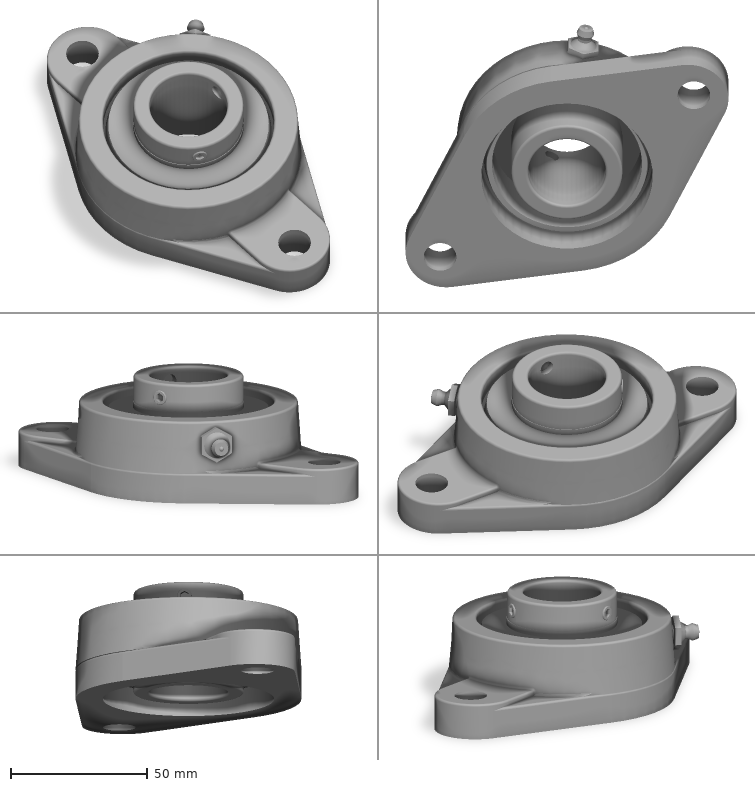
import cadquery as cq
import math

length = 141.0
body_diameter = 83.0
body_radius = body_diameter / 2
lug_radius = 15.0
lug_center = length / 2 - lug_radius
plate_height = 11.1
lug_height = 13.3
edge_fillet = 0.8
root_fillet = 0.8
tangent_sine = (body_radius - lug_radius) / lug_center
tangent_cosine = math.sqrt(1 - tangent_sine**2)
bolt_hole_diameter = 12.0
bolt_hole_center = 58.4

boss_top = 30.3
boss_top_radius = 40.2
rim_fillet = 1.0
bore_diameter = 63.0
seat_radius = 31.0
seat_edge_radius = 30.6
seat_half_height = math.sqrt(seat_radius**2 - seat_edge_radius**2)

bearing_center = 18.0
race_half_width = 9.6
race_top = bearing_center + race_half_width
race_bore_diameter = 55.1
seal_thickness = 1.4
ring_bottom = 2.1
ring_top = 40.0
ring_bore_diameter = 28.6
collar_diameter = 40.3
land_diameter = 40.7
land_top = 29.9

screw_angles = (-30.0, 90.0)
screw_height = 34.7
screw_diameter = 5.4
screw_tip_diameter = 5.0
screw_inner_reach = 16.5
screw_outer_reach = 20.6
socket_flats = 3.0
socket_depth = 2.1

nipple_angle = 135.0
nipple_height = 22.0
shank_diameter = 6.0
shank_reach = 35.2
hex_back_reach = 41.3
hex_front_reach = 43.5
hex_flats = 11.3
flare_diameter = 9.6
neck_diameter = 5.0
neck_start_reach = 45.8
neck_end_reach = 46.8
head_diameter = 6.5
head_reach = 48.6
tip_diameter = 5.1
tip_reach = 50.8
ball_diameter = 2.0
ball_reach = 50.3


def radial_plane(angle, height):
    """Plane at the bearing axis whose normal points outward along the angle, with its Y axis up."""
    outward = (math.cos(math.radians(angle)), math.sin(math.radians(angle)), 0)
    across = (-outward[1], outward[0], 0)
    return cq.Plane(origin=(0, 0, height), xDir=across, normal=outward)


def hexagon(workplane, flats):
    """Hexagon with a corner pointing up."""
    return workplane.transformed(rotate=(0, 0, 90)).polygon(6, flats / math.cos(math.pi / 6))


def plate_outline():
    """Central circle joined to the two lug ends by tangent lines."""
    body_x = body_radius * tangent_sine
    body_y = body_radius * tangent_cosine
    lug_x = lug_center + lug_radius * tangent_sine
    lug_y = lug_radius * tangent_cosine
    return (
        cq.Workplane("XY")
        .moveTo(-body_x, body_y)
        .threePointArc((0, body_radius), (body_x, body_y))
        .lineTo(lug_x, lug_y)
        .threePointArc((length / 2, 0), (lug_x, -lug_y))
        .lineTo(body_x, -body_y)
        .threePointArc((0, -body_radius), (-body_x, -body_y))
        .lineTo(-lug_x, -lug_y)
        .threePointArc((-length / 2, 0), (-lug_x, lug_y))
        .close()
    )


def make_plate():
    plate = plate_outline().extrude(plate_height)
    return plate.faces(">Z").edges("%LINE").fillet(edge_fillet)


def make_lugs():
    """Raised pads of both lugs, as one bar through the boss."""
    lugs = cq.Workplane("XY").slot2D(length, 2 * lug_radius).extrude(lug_height)
    return lugs.faces(">Z").edges().fillet(edge_fillet)


def make_boss():
    """Tapered boss standing on the plate."""
    profile = [(0, plate_height), (body_radius, plate_height), (boss_top_radius, boss_top), (0, boss_top)]
    boss = (
        cq.Workplane("XZ")
        .polyline(profile)
        .close()
        .revolve(360, (0, 0), (0, 1))
    )
    return boss.faces(">Z").edges().fillet(rim_fillet)


def round_lug_roots(flanged_boss):
    """Fillet where the raised pads of the lugs meet the boss."""
    inner_x = math.sqrt(boss_top_radius**2 - lug_radius**2)
    for side in (-1, 1):
        roots = flanged_boss.edges(
            cq.selectors.BoxSelector(
                (side * inner_x, -lug_radius, plate_height + root_fillet / 2),
                (side * body_radius, lug_radius, lug_height + root_fillet / 2),
            )
        )
        flanged_boss = roots.fillet(root_fillet)
    return flanged_boss


def make_plate_root(side):
    """Concave root between plate and boss on one side, ending at the rounded plate edges."""
    floor = plate_height - root_fillet
    root_top = plate_height + root_fillet
    outer_radius = body_radius + root_fillet
    taper = (body_radius - boss_top_radius) / (boss_top - plate_height)
    arc_middle = root_fillet * (1 - math.sqrt(0.5))
    disc = (
        cq.Workplane("XZ")
        .moveTo(0, floor)
        .lineTo(outer_radius, floor)
        .lineTo(outer_radius, plate_height)
        .threePointArc(
            (body_radius + arc_middle, plate_height + arc_middle),
            (body_radius - taper * root_fillet, root_top),
        )
        .lineTo(0, root_top)
        .close()
        .revolve(360, (0, 0), (0, 1))
    )
    edge_distance = body_radius - edge_fillet
    corner_x = side * edge_distance * tangent_sine
    corner_y = edge_distance * tangent_cosine
    flat_area = (
        cq.Workplane("XY")
        .polyline([(corner_x, corner_y), (side * edge_distance / tangent_sine, 0), (corner_x, -corner_y)])
        .close()
        .extrude(boss_top)
    )
    return disc.intersect(flat_area)


def make_seat():
    """Cavity for the insert: a spherical seat opening into equal counterbores above and below."""
    bore_radius = bore_diameter / 2
    edge_chamfer = bore_radius - seat_edge_radius
    seat_top = bearing_center + seat_half_height
    seat_bottom = bearing_center - seat_half_height
    return (
        cq.Workplane("XZ")
        .moveTo(0, 0)
        .lineTo(bore_radius, 0)
        .lineTo(bore_radius, seat_bottom - edge_chamfer)
        .lineTo(seat_edge_radius, seat_bottom)
        .threePointArc((seat_radius, bearing_center), (seat_edge_radius, seat_top))
        .lineTo(bore_radius, seat_top + edge_chamfer)
        .lineTo(bore_radius, boss_top - rim_fillet)
        .radiusArc((bore_radius + rim_fillet, boss_top), rim_fillet)
        .lineTo(0, boss_top)
        .close()
        .revolve(360, (0, 0), (0, 1))
    )


def make_housing():
    housing = round_lug_roots(make_plate().union(make_boss()).union(make_lugs()))
    for side in (-1, 1):
        housing = housing.union(make_plate_root(side))
    housing = housing.cut(make_seat())
    bolt_holes = (
        cq.Workplane("XY")
        .pushPoints([(-bolt_hole_center, 0), (bolt_hole_center, 0)])
        .circle(bolt_hole_diameter / 2)
        .extrude(lug_height)
    )
    nipple_hole = (
        cq.Workplane(radial_plane(nipple_angle, nipple_height))
        .workplane(offset=shank_reach)
        .circle(shank_diameter / 2)
        .extrude(hex_back_reach - shank_reach)
    )
    return housing.cut(bolt_holes).cut(nipple_hole)


def make_outer_race():
    race = cq.Workplane("XY").sphere(seat_radius)
    band = (
        cq.Workplane("XY")
        .circle(seat_radius)
        .circle(race_bore_diameter / 2)
        .extrude(race_half_width, both=True)
    )
    return race.intersect(band).translate((0, 0, bearing_center))


def make_seal():
    return (
        cq.Workplane("XY", origin=(0, 0, race_top - seal_thickness))
        .circle(race_bore_diameter / 2)
        .circle(land_diameter / 2)
        .extrude(seal_thickness)
    )


def make_inner_ring():
    """Ring with a wide land under the seal and a narrower clamping collar above it."""
    base = cq.Workplane("XY", origin=(0, 0, ring_bottom))
    land = base.circle(land_diameter / 2).extrude(land_top - ring_bottom)
    collar = base.circle(collar_diameter / 2).extrude(ring_top - ring_bottom)
    ring = land.union(collar).faces(">Z").workplane().hole(ring_bore_diameter)
    ring = ring.faces(">Z or <Z").edges().fillet(rim_fillet)
    for angle in screw_angles:
        screw_axis = cq.Workplane(radial_plane(angle, screw_height))
        screw_hole = screw_axis.circle(screw_diameter / 2).extrude(collar_diameter)
        ring = ring.cut(screw_hole)
    return ring


def make_set_screw(angle):
    screw = (
        cq.Workplane(radial_plane(angle, screw_height))
        .workplane(offset=screw_inner_reach)
        .circle(screw_diameter / 2)
        .extrude(screw_outer_reach - screw_inner_reach)
    )
    outer_end = cq.Workplane(radial_plane(angle, screw_height)).workplane(offset=screw_outer_reach)
    socket = hexagon(outer_end, socket_flats).extrude(-socket_depth)
    tip_chamfer = (screw_diameter - screw_tip_diameter) / 2
    return screw.edges("%CIRCLE").chamfer(tip_chamfer).cut(socket)


def make_check_ball():
    nipple_axis = cq.Workplane(radial_plane(nipple_angle, nipple_height))
    return nipple_axis.workplane(offset=ball_reach).sphere(ball_diameter / 2)


def make_grease_nipple():
    """Turned stem along local Z, with a hexagon around it and a pocket for the check ball in its tip."""
    stem = (
        cq.Workplane("XZ")
        .polyline(
            [
                (0, shank_reach),
                (shank_diameter / 2, shank_reach),
                (shank_diameter / 2, hex_front_reach),
                (flare_diameter / 2, hex_front_reach),
                (neck_diameter / 2, neck_start_reach),
                (neck_diameter / 2, neck_end_reach),
                (head_diameter / 2, head_reach),
                (tip_diameter / 2, tip_reach),
                (0, tip_reach),
            ]
        )
        .close()
        .revolve(360, (0, 0), (0, 1))
    )
    hex_back = cq.Workplane("XY").workplane(offset=hex_back_reach)
    nut = hexagon(hex_back, hex_flats).extrude(hex_front_reach - hex_back_reach)
    location = cq.Location(radial_plane(nipple_angle, nipple_height))
    nipple = cq.Workplane(stem.union(nut).val().moved(location))
    return nipple.cut(make_check_ball())


housing = make_housing()
outer_race = make_outer_race()
seal = make_seal()
inner_ring = make_inner_ring()
set_screws = [make_set_screw(angle).val() for angle in screw_angles]
grease_nipple = make_grease_nipple()
check_ball = make_check_ball()

result = cq.Compound.makeCompound(
    [
        housing.val(),
        outer_race.val(),
        seal.val(),
        inner_ring.val(),
        *set_screws,
        grease_nipple.val(),
        check_ball.val(),
    ]
)